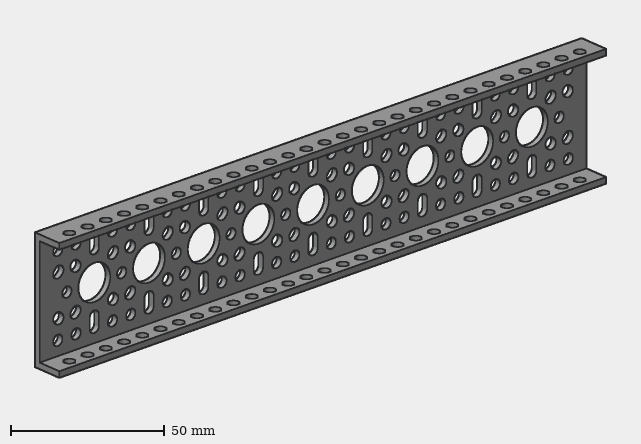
import cadquery as cq
import math

LENGTH = 240.0
WIDTH = 12.0
HEIGHT = 48.0
THICKNESS = 2.5

PITCH = LENGTH / 30
HOLE_DIAMETER = PITCH / 2
GRID_ROW_Z = 2 * PITCH

BORE_DIAMETER = 14.0
BORE_COUNT = 9
BORE_SPACING = 3 * PITCH
RING_RADIUS = BORE_SPACING / 2
RING_DIAGONAL = RING_RADIUS * math.cos(math.radians(45))

SLOT_LENGTH = GRID_ROW_Z - RING_RADIUS + HOLE_DIAMETER
SLOT_Z = (GRID_ROW_Z + RING_RADIUS) / 2

FLANGE_HOLE_COUNT = 29
FLANGE_HOLE_X = PITCH


def centred_positions(count, spacing):
    """Evenly spaced positions along Y, symmetric about the middle of the channel."""
    return [(i - (count - 1) / 2) * spacing for i in range(count)]


def mirrored_in_z(y_positions, z):
    """Points at each Y, both above and below the centreline."""
    return [(y, side * z) for y in y_positions for side in (-1, 1)]


def channel():
    outer = cq.Workplane("XY").box(WIDTH, LENGTH, HEIGHT, centered=(False, True, True))
    inside = (
        cq.Workplane("XY")
        .box(WIDTH - THICKNESS, LENGTH, HEIGHT - 2 * THICKNESS, centered=(False, True, True))
        .translate((THICKNESS, 0, 0))
    )
    return outer.cut(inside)


def web_cutters():
    """Bores, round holes and slots that pass through the web."""
    bores_y = centred_positions(BORE_COUNT, BORE_SPACING)
    midpoints_y = centred_positions(BORE_COUNT + 1, BORE_SPACING)

    grid_y = [y + side * PITCH / 2 for y in midpoints_y for side in (-1, 1)]
    diagonal_y = [y + side * (RING_RADIUS - RING_DIAGONAL) for y in midpoints_y for side in (-1, 1)]
    grid_points = mirrored_in_z(grid_y, GRID_ROW_Z) + mirrored_in_z(grid_y, PITCH)
    ring_points = [(y, 0) for y in midpoints_y] + mirrored_in_z(diagonal_y, RING_DIAGONAL)

    web = cq.Workplane("YZ")
    bores = web.pushPoints([(y, 0) for y in bores_y]).circle(BORE_DIAMETER / 2).extrude(THICKNESS)
    grid_holes = web.pushPoints(grid_points).circle(HOLE_DIAMETER / 2).extrude(THICKNESS)
    ring_holes = web.pushPoints(ring_points).circle(HOLE_DIAMETER / 2).extrude(THICKNESS)
    slots = (
        web.pushPoints(mirrored_in_z(bores_y, SLOT_Z))
        .slot2D(SLOT_LENGTH, HOLE_DIAMETER, 90)
        .extrude(THICKNESS)
    )
    return [bores, grid_holes, ring_holes, slots]


def flange_cutter():
    """One row of holes that passes through both flanges."""
    points = [(FLANGE_HOLE_X, y) for y in centred_positions(FLANGE_HOLE_COUNT, PITCH)]
    return cq.Workplane("XY").pushPoints(points).circle(HOLE_DIAMETER / 2).extrude(HEIGHT / 2, both=True)


result = channel()
for cutter in web_cutters():
    result = result.cut(cutter)
result = result.cut(flange_cutter())